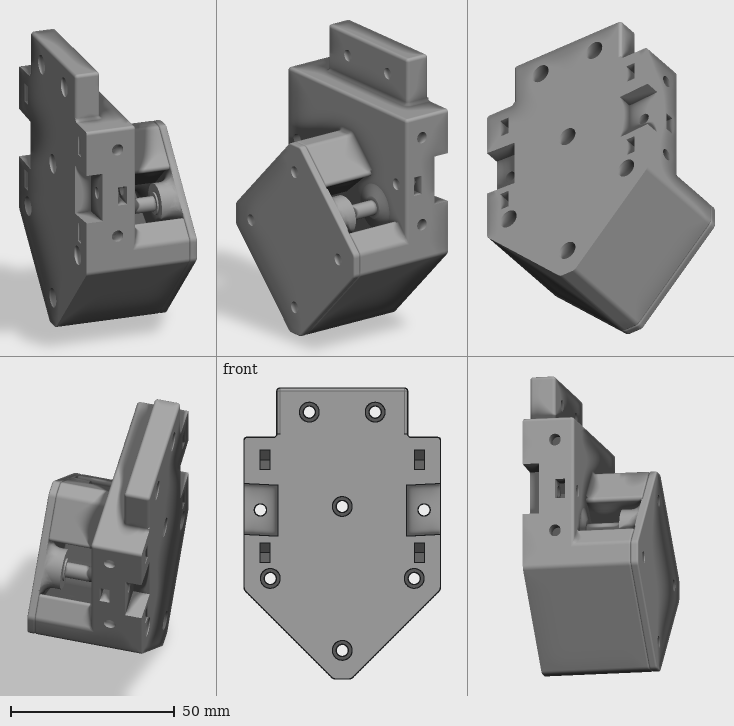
import math

import cadquery as cq


width = 60.0
total_depth = 36.0
height = 88.9
half_width = width / 2

tab_half_width = 20.0
tab_depth = 8.0
block_depth = 16.0
block_height = 73.9
gable_height = 61.5
ridge_half_width = 2.7
corner_radius = 1.95
edge_radius = 1.0

cover_thickness = 2.4
seam_radius = 0.5
gable_depth = total_depth - cover_thickness

gable_middle = gable_height / 2
shoulder_offset = gable_middle - (half_width - ridge_half_width)
diagonal = math.sqrt(0.5)

pulley_x = 14.1
pulley_z = 41.15
chamber_radius = 9.7
hub_pocket_radius = 8.8
mouth_radius = 1.0
post_diameter = 4.7
spacer_diameter = 7.0
spacer_height = 0.5
post_foot_diameter = 14.6
post_foot_height = 1.0
boss_diameter = 12.4
boss_height = 5.6
boss_flare_radius = 3.3
boss_end = gable_depth - boss_height
post_end = boss_end - spacer_height

tolerance = 0.01

screw_diameter = 3.6
counterbore_diameter = 6.0
counterbore_depth = 5.0
cover_screw_circle_radius = 21.95
tab_screw_x = 10.0
tab_screw_z = 81.5

recess_inner_x = 19.6
recess_depth = 5.15
recess_bottom = 44.2
recess_height = 15.55
recess_drop = 0.5
recess_screw_x = 25.0
recess_screw_z = 51.6

nut_width = 5.95
nut_thickness = 3.0
nut_corner_radius = nut_width / math.sqrt(3)
side_screw_y = 10.0
side_screw_heights = (38.7, 66.9)
front_nut_inner_x = 22.0
side_nut_front_y = 10.1


def plane_at(y):
    """Sketch plane facing -Y at depth y, with sketch axes along X and Z."""
    return cq.Workplane("XZ", origin=(0, y, 0))


def round_bar(diameter, x, z, start_y, end_y):
    """Cylinder along Y."""
    return plane_at(start_y).center(x, z).circle(diameter / 2).extrude(start_y - end_y)


def gable_prism(start_y, end_y):
    """Gabled outline with rounded corners, extruded along Y."""
    low_shoulder = gable_middle - shoulder_offset
    high_shoulder = gable_middle + shoulder_offset
    outline = [
        (-ridge_half_width, 0),
        (ridge_half_width, 0),
        (half_width, low_shoulder),
        (half_width, high_shoulder),
        (ridge_half_width, gable_height),
        (-ridge_half_width, gable_height),
        (-half_width, high_shoulder),
        (-half_width, low_shoulder),
    ]
    prism = plane_at(start_y).polyline(outline).close().extrude(start_y - end_y)
    return prism.edges("|Y").fillet(corner_radius)


def centered_box(box_width, depth, bottom, top):
    """Box standing on the mounting face, centered in X."""
    box = cq.Workplane().box(box_width, depth, top - bottom, centered=(True, False, False))
    return box.translate((0, 0, bottom))


def block_with_tab():
    """Full-width block and the narrower tab on top, with rounded edges and a filleted tab root."""
    block = centered_box(width, block_depth, gable_middle, block_height)
    block = block.edges("(|Y and >Z) or (>Y and (|Z or >Z))").fillet(edge_radius)
    tab = centered_box(2 * tab_half_width, tab_depth, gable_middle, height)
    tab = tab.edges(">Z or (|Z and >Y)").fillet(edge_radius)
    tab_root = cq.selectors.BoxSelector(
        (-tab_half_width - tolerance, tolerance, block_height - tolerance),
        (tab_half_width + tolerance, tab_depth + tolerance, block_height + tolerance),
    )
    joined = block.union(tab).edges(tab_root).fillet(edge_radius)

    root_top = block_height + edge_radius
    below_root = centered_box(width, block_depth, 0, root_top)
    above_root = centered_box(2 * tab_half_width, tab_depth, root_top, height)
    above_root = above_root.edges(">Z or |Z").fillet(edge_radius)
    return joined.intersect(below_root.union(above_root))


def housing_shell():
    """Block, tab and gabled rear part, with a fillet where the gable rises from the block."""
    gable_root = cq.selectors.BoxSelector(
        (-half_width + edge_radius, block_depth - tolerance, gable_middle),
        (half_width - edge_radius, block_depth + tolerance, gable_height + tolerance),
    )
    shell = block_with_tab().union(gable_prism(0, gable_depth))
    return shell.edges(gable_root).fillet(edge_radius)


def mirrored_pair(left):
    """A shape on the -X side together with its mirror image."""
    return left.union(left.mirror("YZ"))


def hub_pocket():
    """Round pocket in the middle of the gabled outline."""
    return round_bar(2 * hub_pocket_radius, 0, gable_middle, block_depth, gable_depth)


def belt_channel():
    """Channel from the left pulley pocket to the hub pocket, with walls tangent to both."""
    rise = pulley_z - gable_middle
    distance = math.hypot(pulley_x, rise)
    slope = math.atan2(rise, pulley_x)
    taper = math.asin((chamber_radius - hub_pocket_radius) / distance)

    upper = math.pi / 2 - slope - taper
    lower = -math.pi / 2 - slope + taper

    def pulley_point(angle):
        return (
            chamber_radius * math.cos(angle) - pulley_x,
            chamber_radius * math.sin(angle) + pulley_z,
        )

    def hub_point(angle):
        return (
            hub_pocket_radius * math.cos(angle),
            hub_pocket_radius * math.sin(angle) + gable_middle,
        )

    corners = [pulley_point(upper), hub_point(upper), hub_point(lower), pulley_point(lower)]
    return plane_at(block_depth).polyline(corners).close().extrude(block_depth - gable_depth)


def pulley_chamber():
    """Room for both pulleys: round pockets with rounded mouths, joined to a middle pocket by channels."""
    pulley_below_side = (gable_height + ridge_half_width - pulley_x - pulley_z) * diagonal
    foot_x = -pulley_x - pulley_below_side * diagonal
    foot_z = pulley_z + pulley_below_side * diagonal
    side_plane = cq.Plane((foot_x, block_depth, foot_z), (diagonal, 0, diagonal), (0, -1, 0))

    arc_below_pulley = mouth_radius - pulley_below_side
    mouth_half = math.sqrt((chamber_radius + mouth_radius) ** 2 - arc_below_pulley**2)
    pocket_share = chamber_radius / (chamber_radius + mouth_radius)
    lip_x = mouth_half * pocket_share
    lip_y = -pulley_below_side - arc_below_pulley * pocket_share
    mouth_y = 2 * edge_radius

    mouth = (
        cq.Workplane(side_plane)
        .moveTo(-mouth_half, mouth_y)
        .lineTo(-mouth_half, 0)
        .radiusArc((-lip_x, lip_y), mouth_radius)
        .lineTo(0, -pulley_below_side)
        .lineTo(lip_x, lip_y)
        .radiusArc((mouth_half, 0), mouth_radius)
        .lineTo(mouth_half, mouth_y)
        .close()
        .extrude(block_depth - gable_depth)
    )
    pocket = round_bar(2 * chamber_radius, -pulley_x, pulley_z, block_depth, gable_depth)
    return mirrored_pair(mouth.union(pocket).union(belt_channel())).union(hub_pocket())


def pulley_posts():
    """Two posts with conical feet, standing on the chamber floor and ending at the cover's spacers."""
    foot = cq.Solid.makeCone(
        post_foot_diameter / 2,
        spacer_diameter / 2,
        post_foot_height,
        pnt=cq.Vector(-pulley_x, block_depth, pulley_z),
        dir=cq.Vector(0, 1, 0),
    )
    post = round_bar(post_diameter, -pulley_x, pulley_z, block_depth, post_end)
    return mirrored_pair(post.union(cq.Workplane(foot)))


def cover_screw_places():
    """The four cover screws, evenly spaced around the middle of the gabled outline."""
    r = cover_screw_circle_radius
    return [(r, gable_middle), (0, gable_middle + r), (-r, gable_middle), (0, gable_middle - r)]


def screw_holes():
    """Counterbored holes from the mounting face, for the cover and for the tab."""
    places = cover_screw_places() + [(-tab_screw_x, tab_screw_z), (tab_screw_x, tab_screw_z)]
    holes = plane_at(0).pushPoints(places).circle(screw_diameter / 2).extrude(-total_depth)
    counterbores = plane_at(0).pushPoints(places).circle(counterbore_diameter / 2)
    return holes.union(counterbores.extrude(-counterbore_depth))


def side_recesses():
    """Slanted recess in each front edge, with a screw hole and a nut slot entered from the side."""
    recess = (
        plane_at(0)
        .moveTo(-half_width, recess_bottom)
        .lineTo(-recess_inner_x, recess_bottom - recess_drop)
        .lineTo(-recess_inner_x, recess_bottom - recess_drop + recess_height)
        .lineTo(-half_width, recess_bottom + recess_height)
        .close()
        .extrude(-recess_depth)
    )
    hole = round_bar(screw_diameter, -recess_screw_x, recess_screw_z, 0, block_depth)
    nut_slot = (
        plane_at(side_nut_front_y)
        .moveTo(-half_width, recess_screw_z - nut_width / 2)
        .lineTo(nut_corner_radius / 2 - recess_screw_x, recess_screw_z - nut_width / 2)
        .lineTo(nut_corner_radius - recess_screw_x, recess_screw_z)
        .lineTo(nut_corner_radius / 2 - recess_screw_x, recess_screw_z + nut_width / 2)
        .lineTo(-half_width, recess_screw_z + nut_width / 2)
        .close()
        .extrude(-nut_thickness)
    )
    return mirrored_pair(recess.union(hole).union(nut_slot))


def side_screw(z):
    """Screw hole from each side at height z, ending in a nut slot entered from the mounting face."""
    hole = (
        cq.Workplane("YZ", origin=(-half_width, 0, 0))
        .center(side_screw_y, z)
        .circle(screw_diameter / 2)
        .extrude(half_width - front_nut_inner_x)
    )
    nut_slot = (
        cq.Workplane("YZ", origin=(-front_nut_inner_x, 0, 0))
        .moveTo(0, z - nut_width / 2)
        .lineTo(side_screw_y + nut_corner_radius / 2, z - nut_width / 2)
        .lineTo(side_screw_y + nut_corner_radius, z)
        .lineTo(side_screw_y + nut_corner_radius / 2, z + nut_width / 2)
        .lineTo(0, z + nut_width / 2)
        .close()
        .extrude(-nut_thickness)
    )
    return mirrored_pair(hole.union(nut_slot))


def make_housing():
    """Block, tab and gabled rear part with the pulley posts in its open chamber."""
    housing = housing_shell().cut(pulley_chamber())
    housing = housing.faces(">Y").edges().fillet(seam_radius)
    housing = housing.union(pulley_posts())
    housing = housing.cut(screw_holes()).cut(side_recesses())
    for z in side_screw_heights:
        housing = housing.cut(side_screw(z))
    return housing


def pulley_boss():
    """Left boss, its root flared into the cover and squeezed where the sloping edge passes close by."""
    plate = gable_prism(gable_depth, total_depth)
    boss = round_bar(boss_diameter, -pulley_x, pulley_z, boss_end, gable_depth)
    boss_root = cq.selectors.BoxSelector(
        (-pulley_x - boss_diameter, gable_depth - tolerance, pulley_z - boss_diameter),
        (-pulley_x + boss_diameter, gable_depth + tolerance, pulley_z + boss_diameter),
        boundingbox=True,
    )
    flared = plate.union(boss).edges(boss_root).fillet(boss_flare_radius)
    flared_diameter = boss_diameter + 2 * boss_flare_radius
    return flared.intersect(
        round_bar(flared_diameter, -pulley_x, pulley_z, boss_end, gable_depth + seam_radius)
    )


def make_cover():
    """Plate that closes the gabled part, with a boss and a spacer above each pulley post."""
    plate = gable_prism(gable_depth, total_depth)
    plate = plate.faces("<Y or >Y").edges().fillet(seam_radius)
    spacer = round_bar(spacer_diameter, -pulley_x, pulley_z, post_end, boss_end)
    cover = plate.union(mirrored_pair(pulley_boss().union(spacer)))
    for x, z in cover_screw_places():
        cover = cover.cut(round_bar(screw_diameter, x, z, gable_depth, total_depth))
    return cover


housing = make_housing()
cover = make_cover()
result = cq.Compound.makeCompound([housing.solids().val(), cover.solids().val()])